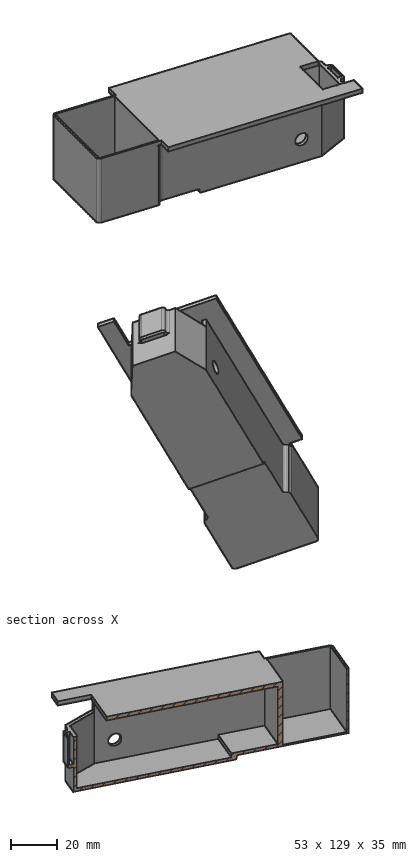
import cadquery as cq

height = 35.0
step_rise = 2.0
plate_thickness = 2.2
plate_bottom = height - plate_thickness
rear_top = height - 7.0

length = 129.0
rear_face = 126.3
shoulder = 111.1
neck_front = 29.3
neck_back = 32.6
step_front = 50.6
step_radius = 0.8
step_back = step_front + 2 * step_radius

box_half = 20.4
body_half = 17.7
rear_half = 10.0

body_wall = 1.8
box_wall = 0.8
box_front_wall = 1.0
box_back = 30.2
box_floor = 1.0
box_corner_radius = 1.5

plate_half = 53.0 / 2
plate_front = 31.1
plate_left_end = 120.1
notch_left = -1.4
notch_right = 18.8

latch_half = 6.0
latch_round = 1.3
latch_foot_half = latch_half + latch_round
latch_edge_chamfer = 0.8
latch_bottom = height - 22.5
slot_half = 4.5
slot_back = length - 0.9

hole_diameter = 6.0
hole_y = 101.3
hole_z = height - 23.2


def box(x_min, x_max, y_min, y_max, z_min, z_max):
    """Axis-aligned block given by its limits."""
    return cq.Workplane("XY").box(
        x_max - x_min, y_max - y_min, z_max - z_min, centered=False
    ).translate((x_min, y_min, z_min))


def body_outline():
    """Plan of the box and body: rounded front, S-shaped necks, tapered rear."""
    neck_mid = ((box_half + body_half) / 2, (neck_front + neck_back) / 2)
    neck_step = box_half - body_half
    neck_length = neck_back - neck_front
    neck_radius = (neck_step**2 + neck_length**2) / (4 * neck_step)
    right_half = (
        cq.Workplane("XY")
        .moveTo(0, 0)
        .lineTo(box_half - box_corner_radius, 0)
        .radiusArc((box_half, box_corner_radius), -box_corner_radius)
        .lineTo(box_half, neck_front)
        .radiusArc(neck_mid, -neck_radius)
        .radiusArc((body_half, neck_back), neck_radius)
        .lineTo(body_half, shoulder)
        .lineTo(rear_half, rear_face)
        .lineTo(0, rear_face)
    )
    return right_half.mirrorY()


def side_profile():
    """Side silhouette with the stepped underside and the lowered rear top."""
    return (
        cq.Workplane("YZ")
        .moveTo(0, step_rise)
        .lineTo(step_front, step_rise)
        .radiusArc((step_front + step_radius, step_rise - step_radius), step_radius)
        .lineTo(step_front + step_radius, step_radius)
        .radiusArc((step_back, 0), -step_radius)
        .lineTo(rear_face, 0)
        .lineTo(rear_face, rear_top)
        .lineTo(shoulder, rear_top)
        .lineTo(shoulder, height)
        .lineTo(0, height)
        .close()
        .extrude(box_half, both=True)
    )


def cover_plate():
    """Flat cover with a rear notch and an arm on the right, tied to the front box by a lip."""
    plate = (
        cq.Workplane("XY", origin=(0, 0, plate_bottom))
        .moveTo(-plate_half, plate_front)
        .lineTo(plate_half, plate_front)
        .lineTo(plate_half, rear_face)
        .lineTo(notch_right, rear_face)
        .lineTo(notch_right, shoulder)
        .lineTo(notch_left, shoulder)
        .lineTo(notch_left, plate_left_end)
        .lineTo(-plate_half, plate_left_end)
        .close()
        .extrude(plate_thickness)
    )
    lip = box(-box_half, box_half, neck_front, neck_back, plate_bottom, height)
    return plate.union(lip)


def front_cavity():
    """Open-topped pocket of the front box."""
    inner_half = box_half - box_wall
    return box(-inner_half, inner_half, box_front_wall, box_back, step_rise + box_floor, height)


def body_cavity():
    """Space under the cover plate, with its floor following the underside step."""
    inner_half = body_half - body_wall
    plan = (
        cq.Workplane("XY")
        .polyline([
            (-body_half, step_back),
            (body_half, step_back),
            (body_half, shoulder),
            (rear_half, rear_face),
            (-rear_half, rear_face),
            (-body_half, shoulder),
        ])
        .close()
        .offset2D(-body_wall)
    )
    deep = plan.extrude(plate_bottom - body_wall).translate((0, 0, body_wall))
    shallow = box(-inner_half, inner_half, neck_back, shoulder - body_wall,
                  step_rise + body_wall, plate_bottom)
    return deep.union(shallow)


def latch():
    """Slotted tab on the rear wall with flared feet and a rounded lower edge."""
    foot_y = rear_face + latch_round
    tip_y = length - latch_round
    tab = (
        cq.Workplane("XY", origin=(0, 0, latch_bottom))
        .moveTo(0, rear_face - body_wall / 2)
        .lineTo(latch_foot_half, rear_face - body_wall / 2)
        .lineTo(latch_foot_half, rear_face)
        .radiusArc((latch_half, foot_y), latch_round)
        .lineTo(latch_half, tip_y)
        .radiusArc((latch_half - latch_round, length), -latch_round)
        .lineTo(0, length)
        .mirrorY()
        .extrude(rear_top - latch_bottom)
    )
    tab = tab.faces(">Y").edges("<Z").chamfer(latch_edge_chamfer)
    slot = box(-slot_half, slot_half, rear_face, slot_back, latch_bottom + body_wall, rear_top)
    return tab.cut(slot)


def cross_hole():
    """Round hole through both side walls."""
    return (
        cq.Workplane("YZ")
        .center(hole_y, hole_z)
        .circle(hole_diameter / 2)
        .extrude(box_half, both=True)
    )


shell = body_outline().extrude(height).intersect(side_profile())
shell = shell.cut(body_cavity()).cut(cross_hole())
result = shell.union(cover_plate()).cut(front_cavity()).union(latch())